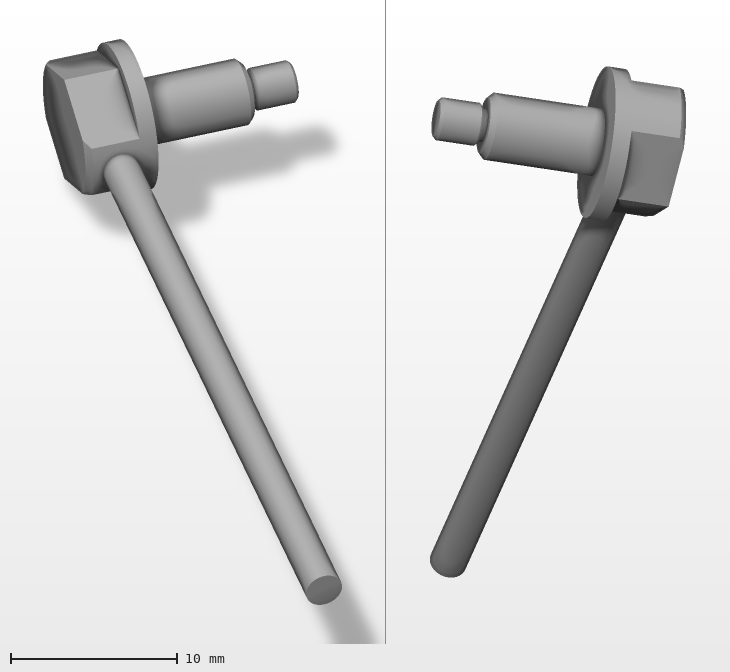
import cadquery as cq
import math

flange_diameter = 9.2
flange_radius = flange_diameter / 2
head_length = 3.4
flange_thickness = 1.1
flange_back = head_length + flange_thickness
head_height = 7.85
flank_angle = 26.3
front_chamfer = 0.4
barrel_diameter = 4.1
barrel_length = 7.0
barrel_chamfer = 0.35
barrel_end = flange_back + barrel_length

overall_length = 14.4
neck_diameter = 2.0
neck_length = 0.25
tip_diameter = 2.6
tip_chamfer = 0.2
tip_length = overall_length - barrel_end - neck_length

overall_width = 49.2
cable_diameter = 2.25
cable_y = 2.1
cable_start = flange_radius - 0.2
cable_end = overall_width - flange_radius


def cylinder_along_y(diameter, start, length):
    """Cylinder on the Y axis, reaching from start towards +Y."""
    return cq.Workplane("XZ", origin=(0, start, 0)).circle(diameter / 2).extrude(-length)


def make_cable():
    return (
        cq.Workplane("YZ", origin=(cable_start, cable_y, 0))
        .circle(cable_diameter / 2)
        .extrude(cable_end - cable_start)
    )


def make_head():
    """Round head with four sloping flanks that meet in a ridge above and below."""
    round_head = cylinder_along_y(flange_diameter, 0, head_length).faces("<Y").chamfer(front_chamfer)
    ridge_z = head_height / 2
    ridge_x = ridge_z / math.tan(math.radians(flank_angle))
    flanks = (
        cq.Workplane("XZ")
        .polyline([(0, ridge_z), (ridge_x, 0), (0, -ridge_z), (-ridge_x, 0)])
        .close()
        .extrude(-head_length)
    )
    return round_head.intersect(flanks)


def make_housing(cable):
    """Head, flange and barrel, with a shallow seat for the end of the cable."""
    flange = cylinder_along_y(flange_diameter, head_length, flange_thickness)
    barrel = cylinder_along_y(barrel_diameter, flange_back, barrel_length).faces(">Y").chamfer(barrel_chamfer)
    return make_head().union(flange).union(barrel).cut(cable)


def make_plunger():
    neck = cylinder_along_y(neck_diameter, barrel_end, neck_length)
    tip = cylinder_along_y(tip_diameter, barrel_end + neck_length, tip_length)
    return neck.union(tip.faces("<Y or >Y").chamfer(tip_chamfer))


cable = make_cable()
housing = make_housing(cable)
plunger = make_plunger()

result = cq.Compound.makeCompound([housing.val(), plunger.val(), cable.val()])